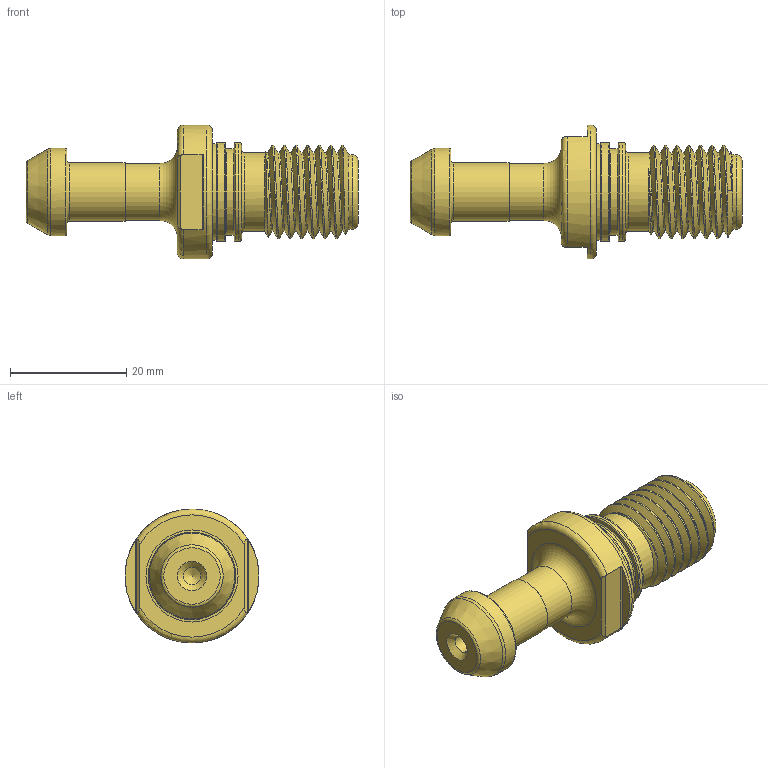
import cadquery as cq
import math


head_radius = 7.5
head_length = 7.0
head_cone_length = 4.0
head_cone_angle = 30.0
head_face_fillet = 0.6
head_cone_fillet = 1.0
head_back_fillet = 0.3
neck_radius = 5.0
neck_step_x = 17.0
neck_relief_radius = 4.9
neck_head_fillet = 0.4
neck_flange_fillet = 3.0

flange_start_x = 26.0
flange_end_x = 32.0
flange_radius = 11.5
flange_fillet = 1.0
flat_half_width = 9.5
flat_end_x = 30.45
flat_chamfer = 0.5
flat_root_fillet = 0.2

undercut_radius = 8.3
undercut_end_x = 32.75
undercut_fillet = 0.09
collar_radius = 8.5
collar_end_x = 37.0
collar_fillet = 0.5
groove_radius = 7.45
groove_start_x = 34.25
groove_end_x = 35.75
groove_fillet = 0.2

total_length = 57.0
shank_radius = 6.75
shank_collar_fillet = 0.5
tip_radius = 6.4
tip_start_x = 55.4
tip_fillet = 1.0
thread_radius = 8.0
thread_pitch = 2.0
thread_crest_width = 0.25
thread_flank_angle = 30.0
thread_start_x = 41.0
helix_start_x = 39.36
thread_end_bevel_angle = 60.0
thread_overlap = 0.1

countersink_radius = 2.5
bore_radius = 1.5
countersink_half_angle = 45.0
bore_end_x = 6.0
drill_half_angle = 59.0

cut_clearance = 1.0
thread_end_cut_length = 3 * thread_pitch
pick_tolerance = 0.01


def tan(degrees):
    return math.tan(math.radians(degrees))


def revolve_about_x(points):
    """Turn a closed (x, radius) outline about the X axis."""
    return cq.Workplane("XZ").polyline(points).close().revolve(360, (0, 0, 0), (1, 0, 0))


def fillet_circle(body, x, radius, size):
    """Round the circular edge of the given position and radius."""
    tol = pick_tolerance
    box = cq.selectors.BoxSelector(
        (x - tol, -radius - tol, -radius - tol),
        (x + tol, radius + tol, radius + tol),
        boundingbox=True,
    )
    inner = radius - tol
    edges = [e for e in body.edges(box).vals() if e.geomType() == "CIRCLE" and e.radius() > inner]
    return body.newObject(edges).fillet(size)


def make_turned_body():
    face_radius = head_radius - head_cone_length * tan(head_cone_angle)
    tip_bevel_length = (shank_radius - tip_radius) / tan(thread_end_bevel_angle)
    body = revolve_about_x([
        (0, 0),
        (0, face_radius),
        (head_cone_length, head_radius),
        (head_length, head_radius),
        (head_length, neck_radius),
        (neck_step_x, neck_radius),
        (neck_step_x, neck_relief_radius),
        (flange_start_x, neck_relief_radius),
        (flange_start_x, flange_radius),
        (flange_end_x, flange_radius),
        (flange_end_x, undercut_radius),
        (undercut_end_x, undercut_radius),
        (undercut_end_x, collar_radius),
        (groove_start_x, collar_radius),
        (groove_start_x, groove_radius),
        (groove_end_x, groove_radius),
        (groove_end_x, collar_radius),
        (collar_end_x, collar_radius),
        (collar_end_x, shank_radius),
        (tip_start_x - tip_bevel_length, shank_radius),
        (tip_start_x, tip_radius),
        (total_length, tip_radius),
        (total_length, 0),
    ])
    rounded_edges = [
        (0, face_radius, head_face_fillet),
        (head_cone_length, head_radius, head_cone_fillet),
        (head_length, head_radius, head_back_fillet),
        (head_length, neck_radius, neck_head_fillet),
        (flange_start_x, neck_relief_radius, neck_flange_fillet),
        (flange_start_x, flange_radius, flange_fillet),
        (flange_end_x, flange_radius, flange_fillet),
        (undercut_end_x, undercut_radius, undercut_fillet),
        (undercut_end_x, collar_radius, undercut_fillet),
        (groove_start_x, collar_radius, groove_fillet),
        (groove_start_x, groove_radius, groove_fillet),
        (groove_end_x, groove_radius, groove_fillet),
        (groove_end_x, collar_radius, groove_fillet),
        (collar_end_x, collar_radius, collar_fillet),
        (collar_end_x, shank_radius, shank_collar_fillet),
        (total_length, tip_radius, tip_fillet),
    ]
    for x, radius, size in rounded_edges:
        body = fillet_circle(body, x, radius, size)
    return body


def make_flat_cutter(side):
    """Material outside one wrench flat; side is +1 or -1 along Y."""
    outside = flange_radius + cut_clearance
    outline = [
        (flange_start_x, side * (flat_half_width - flat_chamfer)),
        (flange_start_x + flat_chamfer, side * flat_half_width),
        (flat_end_x, side * flat_half_width),
        (flat_end_x, side * outside),
        (flange_start_x, side * outside),
    ]
    cutter = cq.Workplane("XY").polyline(outline).close().extrude(outside, both=True)
    root_corner = (flat_end_x, side * flat_half_width, 0)
    return cutter.edges(cq.selectors.NearestToPointSelector(root_corner)).fillet(flat_root_fillet)


def make_thread_end_cutter(edge_x, edge_radius, direction):
    """Ring outside a cone through (edge_x, edge_radius), opening along direction in X."""
    inner_radius = shank_radius - 2 * thread_overlap
    outer_radius = thread_radius + thread_overlap
    slope = tan(thread_end_bevel_angle)
    far_x = edge_x + direction * thread_end_cut_length
    return revolve_about_x([
        (edge_x + direction * (edge_radius - inner_radius) / slope, inner_radius),
        (edge_x + direction * (edge_radius - outer_radius) / slope, outer_radius),
        (far_x, outer_radius),
        (far_x, inner_radius),
    ])


def make_thread():
    """Right-hand helical ridge on the shank, bevelled at both ends."""
    root_radius = shank_radius - thread_overlap
    crest_half = thread_crest_width / 2
    root_half = crest_half + (thread_radius - root_radius) * tan(thread_flank_angle)
    turns = math.ceil((tip_start_x - helix_start_x) / thread_pitch)
    path = cq.Wire.makeHelix(thread_pitch, turns * thread_pitch, root_radius)
    ridge = (
        cq.Workplane("XZ")
        .polyline([
            (root_radius, -root_half),
            (thread_radius, -crest_half),
            (thread_radius, crest_half),
            (root_radius, root_half),
        ])
        .close()
        .sweep(cq.Workplane(obj=path), isFrenet=True)
    )
    ridge = ridge.rotate((0, 0, 0), (0, 1, 0), 90).translate((helix_start_x, 0, 0))
    ridge = ridge.cut(make_thread_end_cutter(thread_start_x, shank_radius, -1))
    return ridge.cut(make_thread_end_cutter(tip_start_x, tip_radius, 1))


def make_centre_hole():
    countersink_depth = (countersink_radius - bore_radius) / tan(countersink_half_angle)
    drill_tip_x = bore_end_x + bore_radius / tan(drill_half_angle)
    return revolve_about_x([
        (0, 0),
        (0, countersink_radius),
        (countersink_depth, bore_radius),
        (bore_end_x, bore_radius),
        (drill_tip_x, 0),
    ])


body = make_turned_body()
for side in (-1, 1):
    body = body.cut(make_flat_cutter(side))
body = body.cut(make_centre_hole())
result = body.union(make_thread())